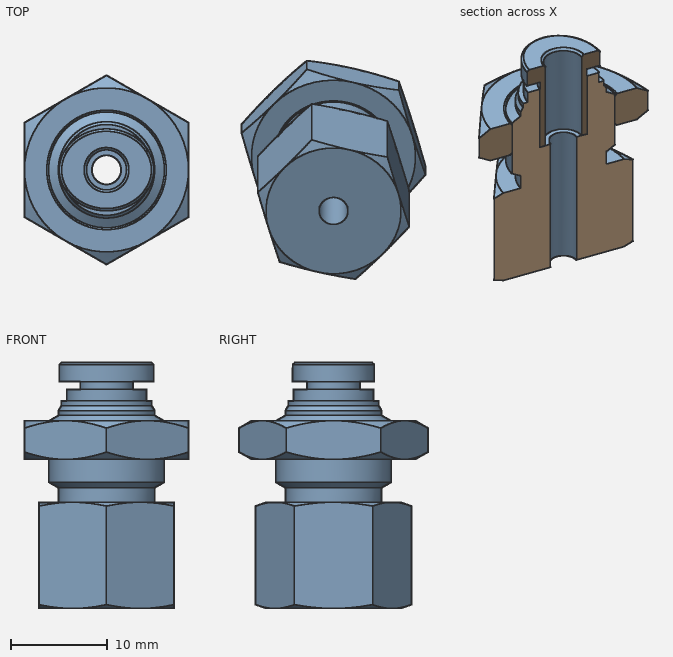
import cadquery as cq
import math

TOTAL_HEIGHT = 25.5
BODY_HEX_TOP = 11.0
NUT_BOTTOM = 15.45
NUT_HEIGHT = 4.0
NUT_TOP = NUT_BOTTOM + NUT_HEIGHT

BODY_HEX_FLATS = 14.0
BODY_HEX_CHAMFER_ANGLE = 20.0
SHANK_DIA = 12.0
NECK_DIA = 10.0
NECK_TAPER_ANGLE = 30.0
NECK_TAPER = (SHANK_DIA - NECK_DIA) / 2 * math.tan(math.radians(NECK_TAPER_ANGLE))
SHANK_BOTTOM = 12.5
SHANK_CONE_TOP = 20.0
NECK_STEP = 0.5
COLLAR_DIA = 9.4
RING_DIA = 8.3
RING_HEIGHT = 1.2
FLOW_BORE_DIA = 3.0

NUT_FLATS = 17.0
NUT_CHAMFER_ANGLE = 30.0
NUT_BORE_CHAMFER = 0.2

BUTTON_LENGTH = 9.8
BUTTON_WIDTH = 8.5
BUTTON_HEIGHT = 2.0
BUTTON_CHAMFER = 0.25
SLEEVE_DIA = 5.5
SLEEVE_BORE_DIA = 4.15
SLEEVE_BORE_CHAMFER = 0.25
SLEEVE_BOTTOM = NUT_BOTTOM


def cylinder(diameter, bottom, top):
    """Upright cylinder on the fitting axis."""
    return cq.Workplane("XY").workplane(offset=bottom).circle(diameter / 2).extrude(top - bottom)


def hexagon(flats, bottom, top, chamfer_angle):
    """Hexagonal prism with flats facing X, its corners turned off conically at both ends."""
    corner_radius = flats / math.sqrt(3)
    corner_drop = (corner_radius - flats / 2) * math.tan(math.radians(chamfer_angle))
    prism = (
        cq.Workplane("XY")
        .workplane(offset=bottom)
        .polygon(6, 2 * corner_radius)
        .extrude(top - bottom)
        .rotate((0, 0, 0), (0, 0, 1), 90)
    )
    turned = (
        cq.Workplane("XZ")
        .moveTo(0, bottom)
        .lineTo(flats / 2, bottom)
        .lineTo(corner_radius, bottom + corner_drop)
        .lineTo(corner_radius, top - corner_drop)
        .lineTo(flats / 2, top)
        .lineTo(0, top)
        .close()
        .revolve(360, (0, 0, 0), (0, 1, 0))
    )
    return prism.intersect(turned)


def make_body():
    """Hexagon base with the turned shank above it, bored for the sleeve and the flow."""
    neck_radius = NECK_DIA / 2
    shank_radius = SHANK_DIA / 2
    collar_radius = COLLAR_DIA / 2
    neck_top = SHANK_CONE_TOP + NECK_STEP
    collar_bottom = neck_top + NECK_STEP
    collar_top = collar_bottom + NECK_STEP
    ring_top = collar_top + RING_HEIGHT
    shank = (
        cq.Workplane("XZ")
        .moveTo(0, BODY_HEX_TOP)
        .lineTo(neck_radius, BODY_HEX_TOP)
        .lineTo(neck_radius, SHANK_BOTTOM)
        .lineTo(shank_radius, SHANK_BOTTOM + NECK_TAPER)
        .lineTo(shank_radius, SHANK_CONE_TOP - NECK_TAPER)
        .lineTo(neck_radius, SHANK_CONE_TOP)
        .lineTo(neck_radius, neck_top)
        .lineTo(collar_radius, collar_bottom)
        .lineTo(collar_radius, collar_top)
        .lineTo(RING_DIA / 2, collar_top)
        .lineTo(RING_DIA / 2, ring_top)
        .lineTo(0, ring_top)
        .close()
        .revolve(360, (0, 0, 0), (0, 1, 0))
    )
    base = hexagon(BODY_HEX_FLATS, 0, BODY_HEX_TOP, BODY_HEX_CHAMFER_ANGLE)
    sleeve_seat = cylinder(SLEEVE_DIA, SLEEVE_BOTTOM, TOTAL_HEIGHT)
    flow_bore = cylinder(FLOW_BORE_DIA, 0, TOTAL_HEIGHT)
    return base.union(shank).cut(sleeve_seat).cut(flow_bore)


def make_nut():
    """Hexagonal panel nut, its bore chamfered at both faces."""
    nut = hexagon(NUT_FLATS, NUT_BOTTOM, NUT_TOP, NUT_CHAMFER_ANGLE)
    nut = nut.cut(cylinder(SHANK_DIA, NUT_BOTTOM, NUT_TOP))
    return nut.edges(cq.selectors.RadiusNthSelector(0)).chamfer(NUT_BORE_CHAMFER)


def make_sleeve():
    """Elliptical release button on its round tube, with a chamfered tube entry."""
    button = (
        cq.Workplane("XY")
        .workplane(offset=TOTAL_HEIGHT - BUTTON_HEIGHT)
        .ellipse(BUTTON_LENGTH / 2, BUTTON_WIDTH / 2)
        .extrude(BUTTON_HEIGHT)
        .faces(">Z")
        .edges()
        .chamfer(BUTTON_CHAMFER)
    )
    tube = cylinder(SLEEVE_DIA, SLEEVE_BOTTOM, TOTAL_HEIGHT)
    bore = cylinder(SLEEVE_BORE_DIA, SLEEVE_BOTTOM, TOTAL_HEIGHT)
    sleeve = button.union(tube).cut(bore)
    entry_edge = sleeve.faces(">Z").edges("%CIRCLE")
    return entry_edge.chamfer(SLEEVE_BORE_CHAMFER)


body = make_body()
nut = make_nut()
sleeve = make_sleeve()

result = cq.Compound.makeCompound([body.val(), nut.val(), sleeve.val()])